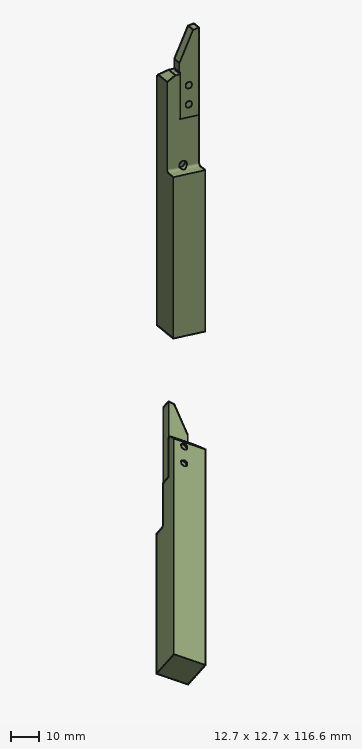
import cadquery as cq
import math

BAR_WIDTH = 12.7
HOLDER_HEIGHT = 100.0
NECK_THICKNESS = 8.0
LEDGE_Z = 63.0
LEDGE_FILLET = 1.0

SIDE_BEVEL_RUN = 2.8
SIDE_BEVEL_DROP = 3.0
FRONT_BEVEL_RUN = 3.3
FRONT_BEVEL_ANGLE = 30.0

CROSS_HOLE_RADIUS = 1.5

TOTAL_HEIGHT = 116.6
BLADE_THICKNESS = 4.0
BLADE_WIDTH = 7.8
BLADE_BACK_GAP = 0.06
BLADE_TIP_WIDTH = 2.3
TIP_RELIEF_ANGLE = 8.0
TAPER_START_Z = 104.5
SHANK_STEP = 0.3
HEAD_CLEARANCE = 0.6

PIN_RADIUS = 1.3
PIN_Y = 2.2
PIN_TOP_MARGIN = 5.0
PIN_SPACING = 7.5
PIN_RECESS = 0.7

HALF_WIDTH = BAR_WIDTH / 2
NECK_FACE_X = NECK_THICKNESS - HALF_WIDTH
FRONT_BEVEL_DROP = FRONT_BEVEL_RUN * math.tan(math.radians(FRONT_BEVEL_ANGLE))
BLADE_SIDE_X = NECK_FACE_X - BLADE_THICKNESS
BLADE_BACK_Y = HALF_WIDTH - BLADE_BACK_GAP
BLADE_FRONT_Y = BLADE_BACK_Y - BLADE_WIDTH
HEAD_BOTTOM_Z = HOLDER_HEIGHT + HEAD_CLEARANCE
SHANK_FRONT_Y = BLADE_FRONT_Y + SHANK_STEP
TIP_RELIEF_DROP = BLADE_TIP_WIDTH * math.tan(math.radians(TIP_RELIEF_ANGLE))
UPPER_PIN_Z = HOLDER_HEIGHT - PIN_TOP_MARGIN
LOWER_PIN_Z = UPPER_PIN_Z - PIN_SPACING
PIN_HEIGHTS = [UPPER_PIN_Z, LOWER_PIN_Z]
SHANK_BOTTOM_Z = LOWER_PIN_Z - PIN_TOP_MARGIN
CROSS_HOLE_Z = LEDGE_Z + CROSS_HOLE_RADIUS


def cylinder_along_x(radius, start_x, end_x, y, z):
    """Solid cylinder parallel to X, from start_x to end_x."""
    return (
        cq.Workplane("YZ", origin=(start_x, 0, 0))
        .center(y, z)
        .circle(radius)
        .extrude(end_x - start_x)
    )


def make_neck_and_bar():
    """Stepped bar with the filleted ledge and the bevel on its -X edge."""
    return (
        cq.Workplane("XZ", origin=(0, HALF_WIDTH, 0))
        .moveTo(-HALF_WIDTH, 0)
        .lineTo(HALF_WIDTH, 0)
        .lineTo(HALF_WIDTH, LEDGE_Z)
        .lineTo(NECK_FACE_X + LEDGE_FILLET, LEDGE_Z)
        .radiusArc((NECK_FACE_X, LEDGE_Z + LEDGE_FILLET), LEDGE_FILLET)
        .lineTo(NECK_FACE_X, HOLDER_HEIGHT)
        .lineTo(-HALF_WIDTH + SIDE_BEVEL_RUN, HOLDER_HEIGHT)
        .lineTo(-HALF_WIDTH, HOLDER_HEIGHT - SIDE_BEVEL_DROP)
        .close()
        .extrude(BAR_WIDTH)
    )


def make_front_bevel_cut():
    """Wedge removed from the top edge on the -Y side."""
    return (
        cq.Workplane("YZ", origin=(-HALF_WIDTH, 0, 0))
        .moveTo(-HALF_WIDTH, HOLDER_HEIGHT)
        .lineTo(-HALF_WIDTH, HOLDER_HEIGHT - FRONT_BEVEL_DROP)
        .lineTo(-HALF_WIDTH + FRONT_BEVEL_RUN, HOLDER_HEIGHT)
        .close()
        .extrude(BAR_WIDTH)
    )


def make_blade_slot():
    """Corner slot for the blade shank, open to the top, +X and +Y sides."""
    return cq.Workplane("XY", origin=(BLADE_SIDE_X, SHANK_FRONT_Y, SHANK_BOTTOM_Z)).box(
        BLADE_THICKNESS,
        HALF_WIDTH - SHANK_FRONT_Y,
        HOLDER_HEIGHT - SHANK_BOTTOM_Z,
        centered=False,
    )


def make_pin_hole(z):
    """Pin hole running right through the neck and the blade."""
    return cylinder_along_x(PIN_RADIUS, -HALF_WIDTH, NECK_FACE_X, PIN_Y, z)


def make_pin(z):
    """Pin ending flush with the +X face of the neck."""
    return cylinder_along_x(PIN_RADIUS, -HALF_WIDTH + PIN_RECESS, NECK_FACE_X, PIN_Y, z)


def make_holder():
    """Bar with its bevels, blade slot, cross hole and pin holes."""
    cross_hole = cylinder_along_x(CROSS_HOLE_RADIUS, 0, HALF_WIDTH, 0, CROSS_HOLE_Z)
    holder = make_neck_and_bar()
    holder = holder.cut(make_front_bevel_cut())
    holder = holder.cut(make_blade_slot())
    holder = holder.cut(cross_hole)
    for z in PIN_HEIGHTS:
        holder = holder.cut(make_pin_hole(z))
    return holder


def make_blade():
    """Blade with a relieved tip, a tapered front and a head that overhangs its shank."""
    blade = (
        cq.Workplane("YZ", origin=(BLADE_SIDE_X, 0, 0))
        .moveTo(BLADE_BACK_Y, SHANK_BOTTOM_Z)
        .lineTo(BLADE_BACK_Y, TOTAL_HEIGHT)
        .lineTo(BLADE_BACK_Y - BLADE_TIP_WIDTH, TOTAL_HEIGHT - TIP_RELIEF_DROP)
        .lineTo(BLADE_FRONT_Y, TAPER_START_Z)
        .lineTo(BLADE_FRONT_Y, HEAD_BOTTOM_Z)
        .lineTo(SHANK_FRONT_Y, HEAD_BOTTOM_Z)
        .lineTo(SHANK_FRONT_Y, SHANK_BOTTOM_Z)
        .close()
        .extrude(BLADE_THICKNESS)
    )
    for z in PIN_HEIGHTS:
        blade = blade.cut(make_pin_hole(z))
    return blade


holder = make_holder()
blade = make_blade()
pins = [make_pin(z) for z in PIN_HEIGHTS]

result = cq.Compound.makeCompound([holder.val(), blade.val(), *[pin.val() for pin in pins]])